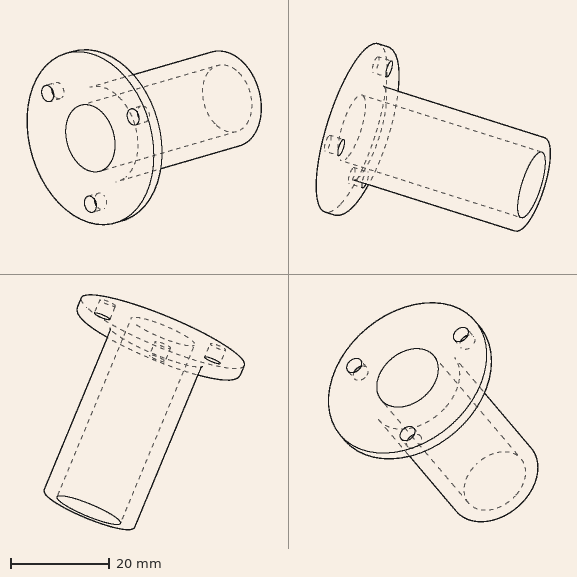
import cadquery as cq

length = 40
flange_diameter = 36
flange_thickness = 3.0
tube_diameter = 20
bore_diameter = 14

flange_fillet = 1.0
root_fillet = 1.0
tube_end_fillet = 0.5

hole_count = 3
hole_diameter = 3.4
hole_circle_diameter = 28
first_hole_angle = 30


def cylinder(diameter, height):
    """Solid cylinder standing on the flange face and pointing along +Y."""
    return cq.Workplane("XZ").circle(diameter / 2).extrude(-height)


flange = cylinder(flange_diameter, flange_thickness).faces(">Y").edges().fillet(flange_fillet)

tube = cylinder(tube_diameter, length).faces(">Y").edges().fillet(tube_end_fillet)

tube_root = cq.selectors.RadiusNthSelector(0)
body = flange.union(tube)
root_edge = body.faces("<Y[1]").edges(tube_root)
body = root_edge.fillet(root_fillet)

body = body.cut(cylinder(bore_diameter, length))

holes = (
    cq.Workplane("XZ")
    .polarArray(hole_circle_diameter / 2, first_hole_angle, 360, hole_count)
    .circle(hole_diameter / 2)
    .extrude(-flange_thickness)
)
result = body.cut(holes)